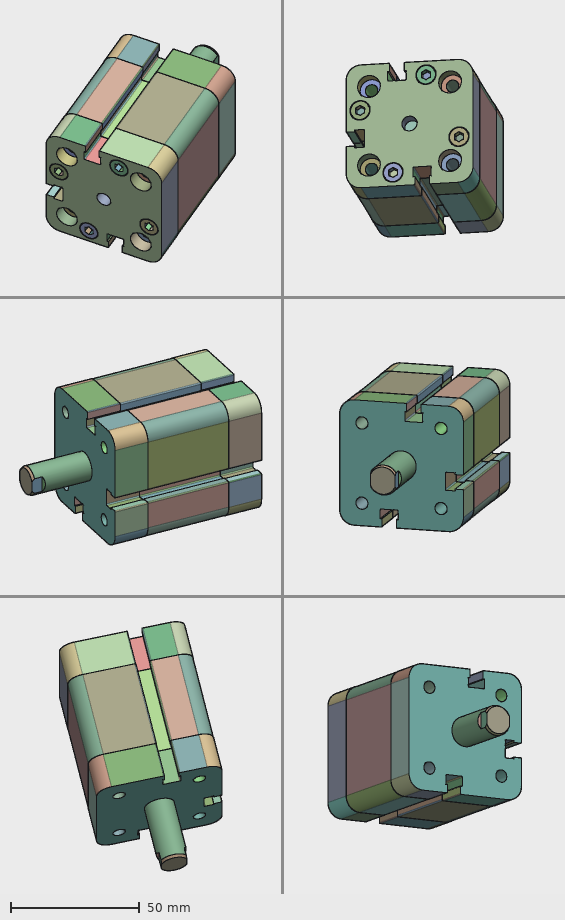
import cadquery as cq
import math


TOTAL_LENGTH = 90.5
ROD_LENGTH = 26.0
BODY_LENGTH = TOTAL_LENGTH - ROD_LENGTH
CAP_LENGTH = 14.5
CAP_WIDTH = 50.1
BARREL_WIDTH = 50.0
CORNER_RADIUS = 6.0

SLOT_OFFSET = -5.0
LIP_THICKNESS = 3.35
CAP_SLOT_DEPTH = 7.2
CAP_NECK_WIDTH = 5.8
CAP_CAVITY_WIDTH = 7.2
SLOT_CLEARANCE = 0.3
MOUTH_WIDTH = 6.5
CAVITY_CORNER_RADIUS = 0.45
SLOT_ANGLES = (0, -90, -180)

MOUNT_OFFSET = 16.0
MOUNT_HOLE_DIAMETER = 4.9
COUNTERBORE_DIAMETER = 9.0
COUNTERBORE_DEPTH = 5.4

SCREW_X = 6.5
SCREW_Z = 19.55
SCREW_POCKET_DIAMETER = 8.0
SCREW_HEAD_DIAMETER = 7.5
SCREW_HEAD_HEIGHT = 4.0
SOCKET_ACROSS_FLATS = 3.5
SOCKET_DEPTH = 3.0

CENTER_HOLE_DIAMETER = 6.0
CENTER_HOLE_DEPTH = 6.0

ROD_DIAMETER = 11.95
ROD_TIP_DIAMETER = 10.9
ROD_TIP_TAPER_LENGTH = 1.2
FLATS_WIDTH = 10.05
FLATS_LENGTH = 4.5
ROD_OVERLAP = CAP_LENGTH / 2


def section_plane(y):
    """Plane across the cylinder axis at the given Y; extrusions from it run toward -Y when positive."""
    return cq.Workplane("XZ", origin=(0, y, 0))


def round_bar(diameter, y, length, points=((0, 0),)):
    """Cylinders along the axis that start at y and run toward +Y."""
    return section_plane(y).pushPoints(points).circle(diameter / 2).extrude(-length)


def slot_cutter(width, neck_width, cavity_width, depth, y, length):
    """T-slot in the top side of a square section, with its mouth edges rounded."""
    surface = width / 2
    ledge = surface - LIP_THICKNESS
    floor = surface - depth
    neck = neck_width / 2
    mouth = MOUTH_WIDTH / 2
    mouth_radius = mouth - neck
    diagonal = mouth_radius * (1 - math.sqrt(0.5))
    mouth_cutter = (
        section_plane(y)
        .center(SLOT_OFFSET, 0)
        .moveTo(-neck, floor)
        .lineTo(-neck, surface - mouth_radius)
        .threePointArc((-neck - diagonal, surface - diagonal), (-mouth, surface))
        .lineTo(mouth, surface)
        .threePointArc((neck + diagonal, surface - diagonal), (neck, surface - mouth_radius))
        .lineTo(neck, floor)
        .close()
        .extrude(-length)
    )
    cavity = (
        section_plane(y)
        .center(SLOT_OFFSET, (ledge + floor) / 2)
        .rect(cavity_width, ledge - floor)
        .extrude(-length)
        .edges("|Y and <Z")
        .fillet(CAVITY_CORNER_RADIUS)
    )
    return mouth_cutter.union(cavity)


def housing_section(width, clearance, y, length):
    """Rounded square block with T-slots; clearance is how much the slots are tightened."""
    block = section_plane(y).rect(width, width).extrude(-length).edges("|Y").fillet(CORNER_RADIUS)
    cutter = slot_cutter(
        width,
        CAP_NECK_WIDTH - clearance,
        CAP_CAVITY_WIDTH - clearance,
        CAP_SLOT_DEPTH - clearance,
        y,
        length,
    )
    for angle in SLOT_ANGLES:
        block = block.cut(cutter.rotate((0, 0, 0), (0, 1, 0), angle))
    return block


def housing():
    barrel_length = BODY_LENGTH - 2 * CAP_LENGTH
    rear_cap = housing_section(CAP_WIDTH, 0, 0, CAP_LENGTH)
    barrel = housing_section(BARREL_WIDTH, SLOT_CLEARANCE, CAP_LENGTH, barrel_length)
    front_cap = housing_section(CAP_WIDTH, 0, BODY_LENGTH - CAP_LENGTH, CAP_LENGTH)
    return rear_cap.union(barrel).union(front_cap)


def mounting_holes():
    corners = [(x, z) for x in (-MOUNT_OFFSET, MOUNT_OFFSET) for z in (-MOUNT_OFFSET, MOUNT_OFFSET)]
    holes = round_bar(MOUNT_HOLE_DIAMETER, 0, BODY_LENGTH, corners)
    return holes.union(round_bar(COUNTERBORE_DIAMETER, 0, COUNTERBORE_DEPTH, corners))


def screw_recesses():
    """Clearance rings around the screw heads, and hexagon sockets with a corner pointing up."""
    centers = [(SCREW_X, SCREW_Z), (-SCREW_Z, SCREW_X), (-SCREW_X, -SCREW_Z), (SCREW_Z, -SCREW_X)]
    pockets = round_bar(SCREW_POCKET_DIAMETER, 0, SCREW_HEAD_HEIGHT, centers)
    heads = round_bar(SCREW_HEAD_DIAMETER, 0, SCREW_HEAD_HEIGHT, centers)
    corner_radius = SOCKET_ACROSS_FLATS / math.sqrt(3)
    recesses = pockets.cut(heads)
    for x, z in centers:
        angles = [math.radians(90 + 60 * corner) for corner in range(6)]
        hexagon = [(x + corner_radius * math.cos(a), z + corner_radius * math.sin(a)) for a in angles]
        recesses = recesses.union(section_plane(0).polyline(hexagon).close().extrude(-SOCKET_DEPTH))
    return recesses


def piston_rod():
    radius = ROD_DIAMETER / 2
    rod_start = BODY_LENGTH - ROD_OVERLAP
    rod = (
        cq.Workplane("XY")
        .moveTo(0, rod_start)
        .lineTo(radius, rod_start)
        .lineTo(radius, TOTAL_LENGTH - ROD_TIP_TAPER_LENGTH)
        .lineTo(ROD_TIP_DIAMETER / 2, TOTAL_LENGTH)
        .lineTo(0, TOTAL_LENGTH)
        .close()
        .revolve(360, (0, 0, 0), (0, 1, 0))
    )
    flat = FLATS_WIDTH / 2
    flats_end = TOTAL_LENGTH - FLATS_LENGTH
    side_cut = (
        cq.Workplane("XY")
        .moveTo(flat, TOTAL_LENGTH)
        .lineTo(flat, flats_end)
        .lineTo(flat + radius, flats_end - radius)
        .lineTo(flat + radius, TOTAL_LENGTH)
        .close()
        .extrude(radius, both=True)
    )
    return rod.cut(side_cut).cut(side_cut.mirror("YZ"))


result = (
    housing()
    .union(piston_rod())
    .cut(mounting_holes())
    .cut(screw_recesses())
    .cut(round_bar(CENTER_HOLE_DIAMETER, 0, CENTER_HOLE_DEPTH))
)